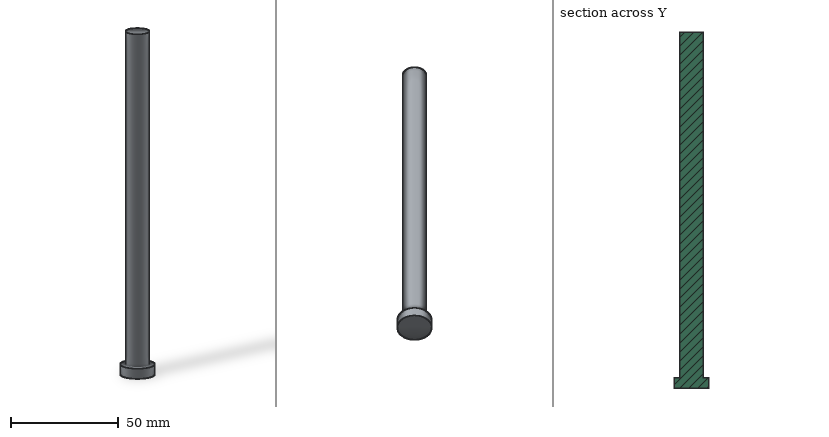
import cadquery as cq

total_length = 165.0
head_diameter = 16.0
head_height = 5.0
shank_diameter = 11.0
neck_fillet_radius = 0.2

shank_radius = shank_diameter / 2
neck_top = head_height + neck_fillet_radius

half_profile = (
    cq.Workplane("XZ")
    .lineTo(head_diameter / 2, 0)
    .lineTo(head_diameter / 2, head_height)
    .lineTo(shank_radius + neck_fillet_radius, head_height)
    .radiusArc((shank_radius, neck_top), neck_fillet_radius)
    .lineTo(shank_radius, total_length)
    .lineTo(0, total_length)
    .close()
)

result = half_profile.revolve(360, (0, 0), (0, 1))